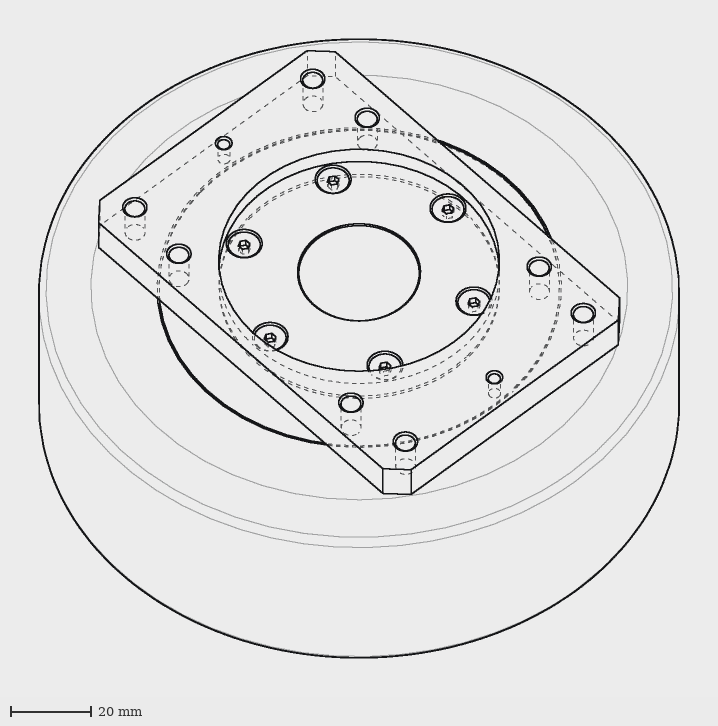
import cadquery as cq
import math

body_diameter = 160
body_height = 50.0
flat_diameter = 134.0
cone_drop = 1.0
rim_radius = 2.0

flange_diameter = 100.0
seam_width = 0.5

hub_diameter = 70.0
plate_gap = 1.0
center_recess_diameter = 30.7
center_recess_depth = 0.3

plate_length = 115.2
plate_width = 80
plate_thickness = 10.0
plate_corner_chamfer = 5.0
pocket_depth = 5.0

thread_diameter = 5.0
thread_mouth_diameter = 6.0
corner_hole_x = 50.0
corner_hole_y = 30.0
inner_hole_offset = 31.8

dowel_diameter = 3.0
dowel_mouth_diameter = 4.2
dowel_depth = 6.4
drill_point_angle = 118

screw_count = 6
screw_circle_radius = 30.0
screw_seat_diameter = 9.0
screw_head_diameter = 8
socket_across_flats = 2.5
socket_depth = 2.4

plate_bottom = body_height + plate_gap
plate_top = plate_bottom + plate_thickness
hub_top = plate_top - pocket_depth
body_radius = body_diameter / 2


def tapered_hole(x, y, top, mouth_diameter, diameter):
    """45 degree conical cutter from the mouth diameter down to the smaller diameter."""
    depth = (mouth_diameter - diameter) / 2
    cone = cq.Solid.makeCone(diameter / 2, mouth_diameter / 2, depth)
    return cq.Workplane(obj=cone).translate((x, y, top - depth))


def make_body():
    """Cylinder with slightly conical shoulders on both ends and rounded rims."""
    flat_radius = flat_diameter / 2
    outline = [
        (0, 0),
        (flat_radius, 0),
        (body_radius, cone_drop),
        (body_radius, body_height - cone_drop),
        (flat_radius, body_height),
        (0, body_height),
    ]
    body = cq.Workplane("XZ").polyline(outline).close().revolve(360, (0, 0), (0, 1))
    outer_rims = cq.selectors.RadiusNthSelector(-1)
    return body.edges("%CIRCLE").edges(outer_rims).fillet(rim_radius)


def make_seam():
    """V-shaped ring cutter around the flange."""
    inner_radius = flange_diameter / 2
    outline = [
        (inner_radius, body_height),
        (inner_radius, body_height - seam_width),
        (inner_radius + seam_width, body_height),
    ]
    return cq.Workplane("XZ").polyline(outline).close().revolve(360, (0, 0), (0, 1))


def make_plate():
    """Chamfered rectangular plate with the hub pocket open at its top."""
    plate = (
        cq.Workplane("XY", origin=(0, 0, plate_bottom))
        .rect(plate_length, plate_width)
        .extrude(plate_thickness)
        .edges("|Z")
        .chamfer(plate_corner_chamfer)
    )
    pocket = cq.Workplane("XY", origin=(0, 0, hub_top)).circle(hub_diameter / 2).extrude(pocket_depth)
    return plate.cut(pocket)


def make_hub():
    """Round hub from the body up to the pocket floor in the plate."""
    hub_base = cq.Workplane("XY", origin=(0, 0, body_height))
    return hub_base.circle(hub_diameter / 2).extrude(hub_top - body_height)


def make_center_recess():
    """Cutter for the shallow bevelled recess in the middle of the hub."""
    floor_diameter = center_recess_diameter - 2 * center_recess_depth
    return tapered_hole(0, 0, hub_top, center_recess_diameter, floor_diameter)


def make_threaded_hole(x, y):
    """Cutter for a through hole with a chamfered mouth."""
    bore_base = cq.Workplane("XY", origin=(x, y, plate_bottom))
    bore = bore_base.circle(thread_diameter / 2).extrude(plate_thickness)
    return bore.union(tapered_hole(x, y, plate_top, thread_mouth_diameter, thread_diameter))


def make_dowel_hole(x, y):
    """Cutter for a blind hole with a chamfered mouth and a conical bottom."""
    radius = dowel_diameter / 2
    floor = plate_top - dowel_depth
    point_depth = radius / math.tan(math.radians(drill_point_angle / 2))
    bore = cq.Workplane("XY", origin=(x, y, floor)).circle(radius).extrude(dowel_depth)
    point_cone = cq.Solid.makeCone(0, radius, point_depth)
    point = cq.Workplane(obj=point_cone).translate((x, y, floor - point_depth))
    mouth = tapered_hole(x, y, plate_top, dowel_mouth_diameter, dowel_diameter)
    return bore.union(point).union(mouth)


def make_screw_recess(x, y):
    """Cutter for the bevelled rim around a screw head and the hexagon socket in the head."""
    seat = tapered_hole(x, y, hub_top, screw_seat_diameter, screw_head_diameter)
    across_corners = socket_across_flats / math.cos(math.radians(30))
    socket = (
        cq.Workplane("XY", origin=(x, y, hub_top))
        .polygon(6, across_corners)
        .extrude(-socket_depth)
    )
    return seat.union(socket)


result = make_body().cut(make_seam()).union(make_hub()).union(make_plate())
result = result.cut(make_center_recess())

for side_x in (-1, 1):
    result = result.cut(make_dowel_hole(side_x * corner_hole_x, 0))
    for side_y in (-1, 1):
        result = result.cut(make_threaded_hole(side_x * corner_hole_x, side_y * corner_hole_y))
        result = result.cut(make_threaded_hole(side_x * inner_hole_offset, side_y * inner_hole_offset))

for index in range(screw_count):
    angle = math.radians(90 + index * 360 / screw_count)
    screw_x = screw_circle_radius * math.cos(angle)
    screw_y = screw_circle_radius * math.sin(angle)
    result = result.cut(make_screw_recess(screw_x, screw_y))